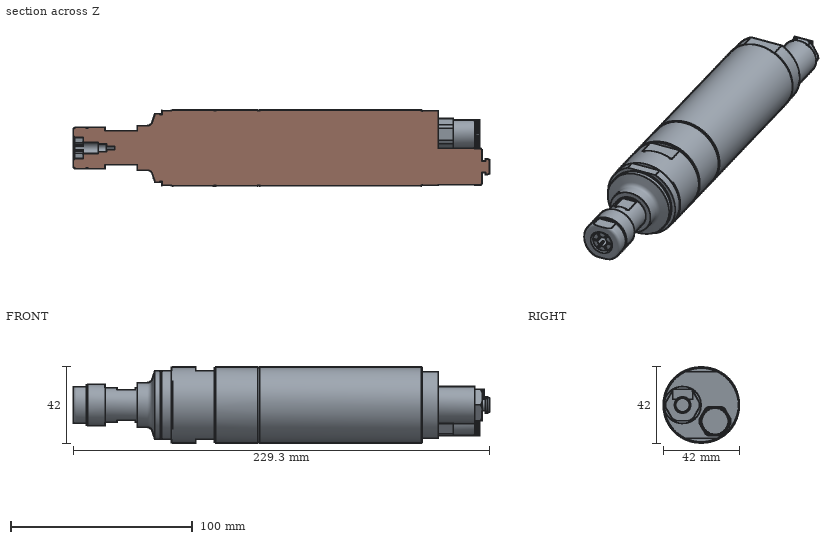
import cadquery as cq
import math


NUT_DIA = 23.0
NUT_FACE_DIA = 19.5
NUT_FLAT_WIDTH = 20.2
NUT_FLAT_END = 7.3
NUT_GROOVE_WIDTH = 0.7
NUT_END = 17.7

NUT_MOUTH_DIA = 13.3
COLLET_DIA = 11.5
COLLET_RECESS = 1.0
COLLET_BORE_DIA = 6.0
COLLET_BORE_DEPTH = 13.8
CORE_HOLE_DIA = 4.1
CORE_HOLE_DEPTH = 18.3
PILOT_HOLE_DIA = 1.5
PILOT_HOLE_DEPTH = 23.0
COLLET_SLOTS = 6
SLOT_WIDTH = 1.0
SLOT_DEPTH = 4.5

SHAFT_DIA = 19.0
SHAFT_FLAT_START = 24.3
SHAFT_FLAT_END = 34.2
SHAFT_FLAT_WIDTH = 17.0
COLLAR_START = 35.3
COLLAR_DIA = 24.8
FLARE_START = 41.0
FLARE_RADIUS = 2.5
FLARE_ANGLE = math.radians(72)
SHOULDER_DIA = 37.8
SHOULDER_END = 48.0

RING_START = 48.8
RING_DIA = 41.5
RING_END = 54.0
BODY_DIA = 42.0
BODY_END = 192.4
BODY_CHAMFER = 0.7
FRONT_SLEEVE_END = 77.7
SEAM_POSITION = 101.8
SEAM_WIDTH = 1.0
GROOVE_DEPTH = 0.35
BODY_FLAT_WIDTH = 37.8
BODY_FLAT_START = 67.6

CAP_DIA = 41.3
CAP_END = 201.0
CAP_FLAT_WIDTH = 36.7

HOSE_Y = -10.3
HOSE_DIA = 20.5
HOSE_END = 221.2
HOSE_HEX_WIDTH = 17.5
HOSE_HEX_END = 225.1
HOSE_HEX_CHAMFER = 1.0
TAB_WIDTH = 11.0
TAB_HEIGHT = 5.5
TAB_END = 226.3
NIPPLE_NECK_DIA = 6.5
NIPPLE_HEAD_DIA = 9.0
NIPPLE_TIP_DIA = 7.5
NIPPLE_HEAD_START = 227.0
NIPPLE_TAPER_START = 228.1
NIPPLE_END = 229.3

PLUG_Y = 7.5
PLUG_Z = -9.0
PLUG_DIA = 15.8
PLUG_HEX_WIDTH = 16.0
PLUG_HEX_CORNER_DIA = 17.5
PLUG_HEX_END = 209.3
PLUG_END = 224.0
PLUG_GROOVE_START = 221.0
PLUG_GROOVE_WIDTH = 0.7
PLUG_GROOVE_DEPTH = 0.7
KNURLS = 24
KNURL_WIDTH = 1.0
KNURL_DEPTH = 0.7

CUT_CLEARANCE = 2.3


def end_plane(x, y=0, z=0):
    """Workplane facing +X; its local x is the part's Y and its local y is the part's Z."""
    return cq.Workplane("YZ", origin=(x, y, z))


def rod(start, end, diameter, y=0, z=0):
    return end_plane(start, y, z).circle(diameter / 2).extrude(end - start)


def hexagon(start, end, width, y, z):
    """Hexagonal bar with two faces toward +Z and -Z."""
    corner_diameter = width / math.cos(math.pi / 6)
    return end_plane(start, y, z).polygon(6, corner_diameter).extrude(end - start)


def ring_groove(start, width, diameter, depth, y=0, z=0):
    outer = rod(start, start + width, diameter + CUT_CLEARANCE, y, z)
    return outer.cut(rod(start, start + width, diameter - 2 * depth, y, z))


def flat_pair(start, end, width):
    """The material above and below two flats that lie `width` apart in Z."""
    length = end - start
    block = cq.Workplane("XY").box(length, 2 * BODY_DIA, 2 * BODY_DIA)
    between = cq.Workplane("XY").box(length, 2 * BODY_DIA, width)
    return block.cut(between).translate((start + length / 2, 0, 0))


def turned_body():
    """Everything turned on the main axis, from the nut face to the end cap."""
    edge_radius = (NUT_DIA - NUT_FACE_DIA) / 2
    edge_inset = edge_radius * (1 - math.cos(math.pi / 4))
    flare_x = FLARE_START + FLARE_RADIUS * math.sin(FLARE_ANGLE)
    flare_r = COLLAR_DIA / 2 + FLARE_RADIUS * (1 - math.cos(FLARE_ANGLE))
    mid_x = FLARE_START + FLARE_RADIUS * math.sin(FLARE_ANGLE / 2)
    mid_r = COLLAR_DIA / 2 + FLARE_RADIUS * (1 - math.cos(FLARE_ANGLE / 2))
    cone_end = flare_x + (SHOULDER_DIA / 2 - flare_r) / math.tan(FLARE_ANGLE)
    profile = (
        cq.Workplane("XY")
        .lineTo(0, NUT_FACE_DIA / 2)
        .threePointArc((edge_inset, NUT_DIA / 2 - edge_inset), (edge_radius, NUT_DIA / 2))
        .lineTo(NUT_END, NUT_DIA / 2)
        .lineTo(NUT_END, SHAFT_DIA / 2)
        .lineTo(COLLAR_START, SHAFT_DIA / 2)
        .lineTo(COLLAR_START, COLLAR_DIA / 2)
        .lineTo(FLARE_START, COLLAR_DIA / 2)
        .threePointArc((mid_x, mid_r), (flare_x, flare_r))
        .lineTo(cone_end, SHOULDER_DIA / 2)
        .lineTo(RING_START, SHOULDER_DIA / 2)
        .lineTo(RING_START, RING_DIA / 2)
        .lineTo(RING_END, RING_DIA / 2)
        .lineTo(RING_END + BODY_CHAMFER, BODY_DIA / 2)
        .lineTo(BODY_END - BODY_CHAMFER, BODY_DIA / 2)
        .lineTo(BODY_END, BODY_DIA / 2 - BODY_CHAMFER)
        .lineTo(BODY_END, CAP_DIA / 2)
        .lineTo(CAP_END, CAP_DIA / 2)
        .lineTo(CAP_END, 0)
        .close()
    )
    return profile.revolve(360, (0, 0, 0), (1, 0, 0))


def body_cuts():
    """Flats and narrow grooves on the turned body."""
    cuts = flat_pair(0, NUT_FLAT_END, NUT_FLAT_WIDTH)
    cuts = cuts.union(flat_pair(SHAFT_FLAT_START, SHAFT_FLAT_END, SHAFT_FLAT_WIDTH))
    cuts = cuts.union(flat_pair(RING_START, RING_END, BODY_FLAT_WIDTH))
    cuts = cuts.union(flat_pair(BODY_FLAT_START, FRONT_SLEEVE_END, BODY_FLAT_WIDTH))
    cuts = cuts.union(flat_pair(BODY_END, CAP_END, CAP_FLAT_WIDTH))
    grooves = (
        (NUT_FLAT_END, NUT_GROOVE_WIDTH, NUT_DIA),
        (SHOULDER_END, RING_START - SHOULDER_END, SHOULDER_DIA),
        (FRONT_SLEEVE_END, SEAM_WIDTH, BODY_DIA),
        (SEAM_POSITION, SEAM_WIDTH, BODY_DIA),
    )
    for start, width, diameter in grooves:
        cuts = cuts.union(ring_groove(start, width, diameter, GROOVE_DEPTH))
    return cuts


def collet_cuts():
    """Tapered nut mouth, stepped bore and the radial slots of the collet."""
    cuts = (
        end_plane(0)
        .circle(NUT_MOUTH_DIA / 2)
        .workplane(offset=COLLET_RECESS)
        .circle(COLLET_DIA / 2)
        .loft()
    )
    cuts = cuts.union(rod(0, COLLET_BORE_DEPTH, COLLET_BORE_DIA))
    cuts = cuts.union(rod(0, CORE_HOLE_DEPTH, CORE_HOLE_DIA))
    cuts = cuts.union(rod(0, PILOT_HOLE_DEPTH, PILOT_HOLE_DIA))
    slot_length = COLLET_DIA / 2
    for index in range(COLLET_SLOTS):
        slot = (
            end_plane(0)
            .center(slot_length / 2, 0)
            .rect(slot_length, SLOT_WIDTH)
            .extrude(COLLET_RECESS + SLOT_DEPTH)
        )
        cuts = cuts.union(slot.rotate((0, 0, 0), (1, 0, 0), index * 360 / COLLET_SLOTS))
    return cuts


def hose_connector():
    barrel = rod(CAP_END, HOSE_END, HOSE_DIA, HOSE_Y)
    nut = hexagon(HOSE_END, HOSE_HEX_END, HOSE_HEX_WIDTH, HOSE_Y, 0)
    corner_turning = rod(HOSE_END, HOSE_HEX_END, HOSE_DIA, HOSE_Y)
    nut = nut.intersect(corner_turning.faces(">X").chamfer(HOSE_HEX_CHAMFER))
    tab_z = (HOSE_HEX_WIDTH - TAB_HEIGHT) / 2
    tab = end_plane(HOSE_HEX_END, HOSE_Y, tab_z).rect(TAB_WIDTH, TAB_HEIGHT)
    tab = tab.extrude(TAB_END - HOSE_HEX_END)
    neck = rod(HOSE_HEX_END, NIPPLE_HEAD_START, NIPPLE_NECK_DIA, HOSE_Y)
    head = rod(NIPPLE_HEAD_START, NIPPLE_TAPER_START, NIPPLE_HEAD_DIA, HOSE_Y)
    tip = (
        end_plane(NIPPLE_TAPER_START, HOSE_Y)
        .circle(NIPPLE_HEAD_DIA / 2)
        .workplane(offset=NIPPLE_END - NIPPLE_TAPER_START)
        .circle(NIPPLE_TIP_DIA / 2)
        .loft()
    )
    return barrel.union(nut).union(tab).union(neck).union(head).union(tip)


def plug_connector():
    nut = hexagon(CAP_END, PLUG_HEX_END, PLUG_HEX_WIDTH, PLUG_Y, PLUG_Z)
    nut = nut.intersect(rod(CAP_END, PLUG_HEX_END, PLUG_HEX_CORNER_DIA, PLUG_Y, PLUG_Z))
    barrel = rod(PLUG_HEX_END, PLUG_END, PLUG_DIA, PLUG_Y, PLUG_Z)
    barrel = barrel.cut(
        ring_groove(PLUG_GROOVE_START, PLUG_GROOVE_WIDTH, PLUG_DIA, PLUG_GROOVE_DEPTH, PLUG_Y, PLUG_Z)
    )
    knurl_start = PLUG_GROOVE_START + PLUG_GROOVE_WIDTH
    notches = (
        end_plane(knurl_start, PLUG_Y, PLUG_Z)
        .polarArray(PLUG_DIA / 2, 0, 360, KNURLS)
        .rect(2 * KNURL_DEPTH, KNURL_WIDTH)
        .extrude(PLUG_END - knurl_start)
    )
    return nut.union(barrel.cut(notches))


spindle = turned_body().cut(body_cuts()).cut(collet_cuts())
result = spindle.union(hose_connector()).union(plug_connector())